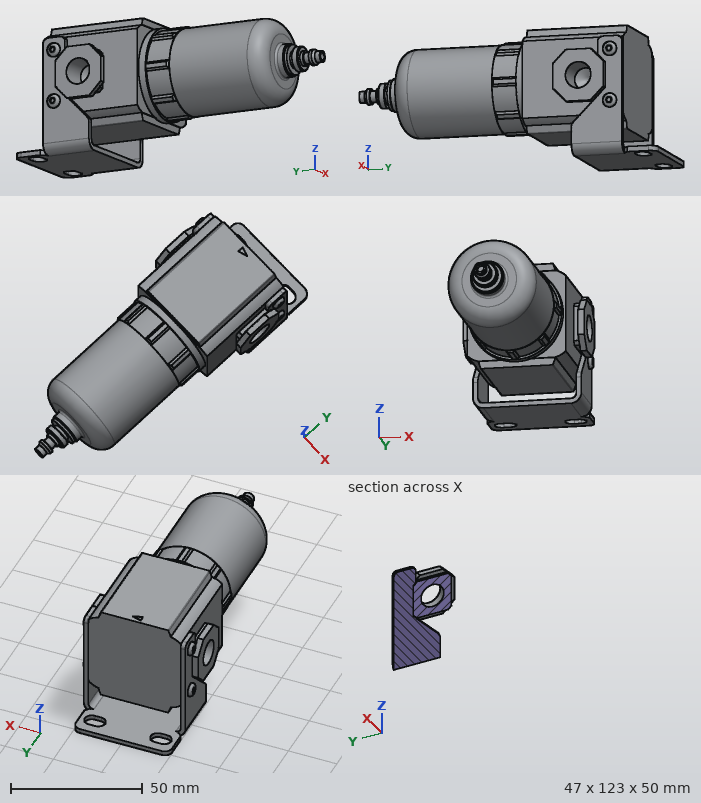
import cadquery as cq
import math


HOUSING_LENGTH = 40.0
HOUSING_WIDTH = 38.1
HOUSING_HEIGHT = 40.0
PLATE_TOP_WIDTH = 27.9
PLATE_BASE_WIDTH = 30.0
PLATE_BASE_Z = 17.1
PLATE_EDGE_RADIUS = 0.4
PLATE_SETBACK = 0.4
SIDE_TOP_Z = 14.9
SHOULDER_RADIUS = 8.6
ARROW_LENGTH = 3.7
ARROW_WIDTH = 2.2
ARROW_DEPTH = 0.2
ARROW_FROM_BACK = 2.7

PORT_Y = 23.4
PORT_FACE_X = 23.5
PORT_PAD_SIZE = 19.9
PORT_PAD_CHAMFER = 5.0
PORT_NECK_SIZE = 16.5
PORT_NECK_CHAMFER = 1.5
PORT_MOUTH_RADIUS = 5.0
PORT_BOTTOM_RADIUS = 4.3
PORT_DEPTH = 9.8
PORT_CONE_DEPTH = 2.6

SHEET = 2.0
BRACKET_BOTTOM_Z = -30.0
BRACKET_LENGTH = 20.0
BEND_INNER_RADIUS = 2.1
LEG_TOP_LENGTH = 9.6
LEG_CORNER_RADIUS = 2.0
FOOT_CORNER_RADIUS = 3.0
TAB_WIDTH = 39.9
TAB_LENGTH = 13.2
TAB_CORNER_RADIUS = 3.0
TAB_RELIEF = 1.8
SLOT_LENGTH = 8.4
SLOT_WIDTH = 5.7
SLOT_X = 13.7
SLOT_FROM_BACK = 6.9

SCREW_Y = 35.2
SCREW_Z = 10.0
SCREW_HEAD_RADIUS = 2.7
SCREW_HEAD_HEIGHT = 1.5
SCREW_HEAD_ROUND = 1.2
SOCKET_DIAMETER = 2.2
SOCKET_DEPTH = 0.7

RING_RADIUS = 18.1
RING_END_Y = -3.0
COLLAR_RADIUS = 17.1
COLLAR_END_Y = -12.8
RIB_COUNT = 8
RIB_TOP_RADIUS = 17.8
RIB_TOP_WIDTH = 1.8
RIB_BASE_WIDTH = 3.7
RIB_END_CHAMFER = 0.9
BOWL_RADIUS = 17.0
BOWL_END_Y = -52.9
BOWL_END_ROUND = 6.4
BOSS_RADIUS = 6.4
BOSS_FILLET = 0.9
BOSS_END_Y = -56.6
BOSS_END_CHAMFER = 0.4

DRAIN_NECK_RADIUS = 2.2
DRAIN_STEPS = (
    (5.9, -57.7, 0.0),
    (3.5, -59.3, 0.0),
    (4.8, -61.7, 0.4),
    (3.0, -63.0, 0.0),
    (DRAIN_NECK_RADIUS, -65.5, 0.0),
    (3.1, -66.8, 0.0),
)
DRAIN_CONE_END_Y = -67.8
DRAIN_TIP_Y = HOUSING_LENGTH + TAB_LENGTH - 123.0
DRAIN_BORE_RADIUS = 1.5
DRAIN_BORE_DEPTH = 2.5

HALF_WIDTH = HOUSING_WIDTH / 2
HALF_HEIGHT = HOUSING_HEIGHT / 2
LEG_OUTER_X = HALF_WIDTH + SHEET
BRACKET_FRONT_Y = HOUSING_LENGTH - BRACKET_LENGTH


def chamfered_pad(size, chamfer, start_x, end_x):
    """Square pad with cut corners, centred on the port axis."""
    return (
        cq.Workplane("YZ", origin=(start_x, PORT_Y, 0))
        .rect(size, size)
        .extrude(end_x - start_x)
        .edges("|X")
        .chamfer(chamfer)
    )


def port_hole():
    """Blind port on the +X side, tapered, with a conical bottom."""
    bottom_x = PORT_FACE_X - PORT_DEPTH
    return (
        cq.Workplane("XY", origin=(0, PORT_Y, 0))
        .moveTo(PORT_FACE_X, 0)
        .lineTo(PORT_FACE_X, PORT_MOUTH_RADIUS)
        .lineTo(bottom_x, PORT_BOTTOM_RADIUS)
        .lineTo(bottom_x - PORT_CONE_DEPTH, 0)
        .close()
        .revolve(360, (0, 0, 0), (1, 0, 0))
    )


def flow_arrow():
    """Shallow triangle in the top plate, pointing to +X."""
    half_length = ARROW_LENGTH / 2
    half_width = ARROW_WIDTH / 2
    return (
        cq.Workplane("XY", origin=(0, HOUSING_LENGTH - ARROW_FROM_BACK, HALF_HEIGHT))
        .polyline([(-half_length, half_width), (-half_length, -half_width), (half_length, 0)])
        .close()
        .extrude(-ARROW_DEPTH)
    )


def make_housing():
    plate_top = PLATE_TOP_WIDTH / 2
    plate_base = PLATE_BASE_WIDTH / 2
    block = (
        cq.Workplane("XZ")
        .moveTo(-plate_top, HALF_HEIGHT)
        .lineTo(plate_top, HALF_HEIGHT)
        .lineTo(plate_base, PLATE_BASE_Z)
        .radiusArc((HALF_WIDTH, SIDE_TOP_Z), SHOULDER_RADIUS)
        .lineTo(HALF_WIDTH, -SIDE_TOP_Z)
        .radiusArc((plate_base, -PLATE_BASE_Z), SHOULDER_RADIUS)
        .lineTo(plate_top, -HALF_HEIGHT)
        .lineTo(-plate_top, -HALF_HEIGHT)
        .lineTo(-plate_base, -PLATE_BASE_Z)
        .radiusArc((-HALF_WIDTH, -SIDE_TOP_Z), SHOULDER_RADIUS)
        .lineTo(-HALF_WIDTH, SIDE_TOP_Z)
        .radiusArc((-plate_base, PLATE_BASE_Z), SHOULDER_RADIUS)
        .close()
        .extrude(-HOUSING_LENGTH)
    )
    block = block.faces(">Z or <Z").edges("|Y").fillet(PLATE_EDGE_RADIUS)
    plate_height = HALF_HEIGHT - PLATE_BASE_Z
    plate_fronts = (
        cq.Workplane("XZ")
        .pushPoints([(0, HALF_HEIGHT - plate_height / 2), (0, plate_height / 2 - HALF_HEIGHT)])
        .rect(HOUSING_WIDTH, plate_height)
        .extrude(-PLATE_SETBACK)
    )
    block = block.cut(plate_fronts)
    neck = chamfered_pad(PORT_NECK_SIZE, PORT_NECK_CHAMFER, 0, LEG_OUTER_X)
    pad = chamfered_pad(PORT_PAD_SIZE, PORT_PAD_CHAMFER, LEG_OUTER_X, PORT_FACE_X)
    port = neck.union(pad)
    block = block.union(port).union(port.mirror("YZ"))
    hole = port_hole()
    return block.cut(hole).cut(hole.mirror("YZ")).cut(flow_arrow())


def bracket_channel():
    """Sheet bent to a U around the housing, over the full length of the bracket."""
    outer_width = 2 * LEG_OUTER_X
    height = SIDE_TOP_Z - BRACKET_BOTTOM_Z
    outer = (
        cq.Workplane("XY", origin=(0, BRACKET_FRONT_Y, BRACKET_BOTTOM_Z))
        .box(outer_width, BRACKET_LENGTH, height, centered=(True, False, False))
        .edges("|Y and <Z")
        .fillet(BEND_INNER_RADIUS + SHEET)
    )
    inner = (
        cq.Workplane("XY", origin=(0, BRACKET_FRONT_Y, BRACKET_BOTTOM_Z + SHEET))
        .box(HOUSING_WIDTH, BRACKET_LENGTH, height, centered=(True, False, False))
        .edges("|Y and <Z")
        .fillet(BEND_INNER_RADIUS)
    )
    return outer.cut(inner)


def leg_outline():
    """Side shape of the legs: it follows the port neck, then widens at 45 degrees to the foot."""
    leg_front_y = HOUSING_LENGTH - LEG_TOP_LENGTH
    half_neck = PORT_NECK_SIZE / 2
    neck_back_y = PORT_Y + half_neck
    neck_flat_z = half_neck - PORT_NECK_CHAMFER
    upper_slope_z = neck_flat_z + neck_back_y - leg_front_y
    foot_top_z = -neck_flat_z - (neck_back_y - BRACKET_FRONT_Y)
    outline = (
        cq.Workplane("YZ", origin=(-LEG_OUTER_X, 0, 0))
        .moveTo(HOUSING_LENGTH, SIDE_TOP_Z)
        .lineTo(leg_front_y, SIDE_TOP_Z)
        .lineTo(leg_front_y, upper_slope_z)
        .lineTo(neck_back_y, neck_flat_z)
        .lineTo(neck_back_y, -neck_flat_z)
        .lineTo(BRACKET_FRONT_Y, foot_top_z)
        .lineTo(BRACKET_FRONT_Y, BRACKET_BOTTOM_Z)
        .lineTo(HOUSING_LENGTH, BRACKET_BOTTOM_Z)
        .close()
        .extrude(2 * LEG_OUTER_X)
    )
    foot_corner = cq.selectors.NearestToPointSelector((0, BRACKET_FRONT_Y, foot_top_z))
    outline = outline.edges("|X and >Z").fillet(LEG_CORNER_RADIUS)
    return outline.edges("|X").edges(foot_corner).fillet(FOOT_CORNER_RADIUS)


def mounting_tab():
    """Slotted tab that continues the bracket's base behind the housing."""
    tab = (
        cq.Workplane("XY", origin=(0, HOUSING_LENGTH, BRACKET_BOTTOM_Z))
        .box(TAB_WIDTH, TAB_LENGTH, SHEET, centered=(True, False, False))
    )
    tab = tab.edges("|Z and >Y").fillet(TAB_CORNER_RADIUS)
    tab = tab.edges("|Z and <Y").chamfer(TAB_RELIEF)
    slots = (
        cq.Workplane("XY", origin=(0, HOUSING_LENGTH + TAB_LENGTH - SLOT_FROM_BACK, BRACKET_BOTTOM_Z))
        .pushPoints([(-SLOT_X, 0), (SLOT_X, 0)])
        .slot2D(SLOT_LENGTH, SLOT_WIDTH)
        .extrude(SHEET)
    )
    return tab.cut(slots)


def make_bracket():
    return bracket_channel().intersect(leg_outline()).union(mounting_tab())


def make_screw(side, z):
    """Rounded screw head with a hexagon socket, on the leg at side -1 or +1."""
    head = (
        cq.Workplane("YZ", origin=(side * LEG_OUTER_X, SCREW_Y, z))
        .circle(SCREW_HEAD_RADIUS)
        .extrude(side * SCREW_HEAD_HEIGHT)
    )
    outer_face = ">X" if side > 0 else "<X"
    head = head.faces(outer_face).edges().fillet(SCREW_HEAD_ROUND)
    socket = (
        cq.Workplane("YZ", origin=(side * (LEG_OUTER_X + SCREW_HEAD_HEIGHT), SCREW_Y, z))
        .polygon(6, SOCKET_DIAMETER)
        .extrude(-side * SOCKET_DEPTH)
    )
    return head.cut(socket)


def collar_rib():
    """Tapered rib on the top of the collar, sloping down to the collar at its front end."""
    half_top = RIB_TOP_WIDTH / 2
    half_base = RIB_BASE_WIDTH / 2
    base_z = math.sqrt(BOWL_RADIUS**2 - half_base**2)
    return (
        cq.Workplane("XZ", origin=(0, RING_END_Y, 0))
        .moveTo(-half_base, base_z)
        .lineTo(-half_top, RIB_TOP_RADIUS)
        .lineTo(half_top, RIB_TOP_RADIUS)
        .lineTo(half_base, base_z)
        .close()
        .extrude(RING_END_Y - COLLAR_END_Y)
        .edges("<Y and >Z")
        .chamfer(RIB_END_CHAMFER)
    )


def make_bowl():
    """Bowl with its ribbed collar and the boss that holds the drain."""
    bowl = (
        cq.Workplane("XY")
        .moveTo(0, 0)
        .lineTo(RING_RADIUS, 0)
        .lineTo(RING_RADIUS, RING_END_Y)
        .lineTo(COLLAR_RADIUS, RING_END_Y)
        .lineTo(COLLAR_RADIUS, COLLAR_END_Y)
        .lineTo(BOWL_RADIUS, COLLAR_END_Y)
        .lineTo(BOWL_RADIUS, BOWL_END_Y + BOWL_END_ROUND)
        .radiusArc((BOWL_RADIUS - BOWL_END_ROUND, BOWL_END_Y), BOWL_END_ROUND)
        .lineTo(BOSS_RADIUS + BOSS_FILLET, BOWL_END_Y)
        .radiusArc((BOSS_RADIUS, BOWL_END_Y - BOSS_FILLET), -BOSS_FILLET)
        .lineTo(BOSS_RADIUS, BOSS_END_Y + BOSS_END_CHAMFER)
        .lineTo(BOSS_RADIUS - BOSS_END_CHAMFER, BOSS_END_Y)
        .lineTo(0, BOSS_END_Y)
        .close()
        .revolve(360, (0, 0, 0), (0, 1, 0))
    )
    rib = collar_rib()
    for index in range(RIB_COUNT):
        angle = index * 360 / RIB_COUNT
        bowl = bowl.union(rib.rotate((0, 0, 0), (0, 1, 0), angle))
    return bowl


def make_drain():
    """Stepped drain fitting on the boss, with a bored tip."""
    outline = cq.Workplane("XY").moveTo(0, BOSS_END_Y)
    start_y = BOSS_END_Y
    for radius, end_y, end_chamfer in DRAIN_STEPS:
        outline = outline.lineTo(radius, start_y).lineTo(radius, end_y + end_chamfer)
        if end_chamfer > 0:
            outline = outline.lineTo(radius - end_chamfer, end_y)
        start_y = end_y
    return (
        outline.lineTo(DRAIN_NECK_RADIUS, DRAIN_CONE_END_Y)
        .lineTo(DRAIN_NECK_RADIUS, DRAIN_TIP_Y)
        .lineTo(DRAIN_BORE_RADIUS, DRAIN_TIP_Y)
        .lineTo(DRAIN_BORE_RADIUS, DRAIN_TIP_Y + DRAIN_BORE_DEPTH)
        .lineTo(0, DRAIN_TIP_Y + DRAIN_BORE_DEPTH)
        .close()
        .revolve(360, (0, 0, 0), (0, 1, 0))
    )


housing = make_housing()
bracket = make_bracket()
bowl = make_bowl()
drain = make_drain()
screws = [make_screw(side, z) for side in (-1, 1) for z in (-SCREW_Z, SCREW_Z)]

result = cq.Compound.makeCompound(
    [housing.val(), bracket.val(), bowl.val(), drain.val(), *[screw.val() for screw in screws]]
)